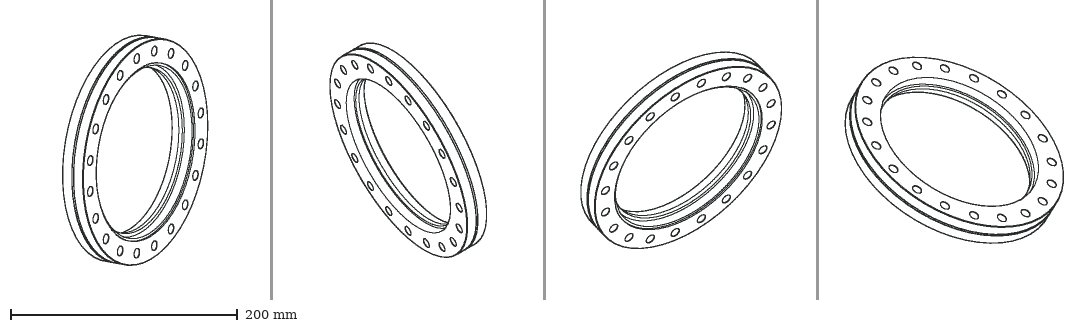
import cadquery as cq

outer_diameter = 202.5
thickness = 22.0
rim_chamfer = 0.6

front_bore_diameter = 153.0
front_bore_depth = 8.7
land_diameter = 148.5
land_width = 3.6
rear_bore_diameter = 155.0
rear_recess_diameter = 159.5
rear_recess_depth = 1.6
rear_bore_depth = thickness - front_bore_depth - land_width

groove_width = 1.8
groove_depth = 0.5

bolt_count = 20
bolt_circle_diameter = 181.0
bolt_hole_diameter = 8.3
bolt_hole_chamfer = 0.3
bolt_pitch_angle = 360 / bolt_count


def cylinder(diameter, start, length):
    """Solid cylinder on the X axis, starting at X = start."""
    return cq.Workplane("YZ", origin=(start, 0, 0)).circle(diameter / 2).extrude(length)


def make_body():
    return cylinder(outer_diameter, -thickness / 2, thickness).edges().chamfer(rim_chamfer)


def cut_bore(body):
    front_face = -thickness / 2
    rear_face = thickness / 2
    body = body.cut(cylinder(land_diameter, front_face, thickness))
    body = body.cut(cylinder(front_bore_diameter, front_face, front_bore_depth))
    body = body.cut(cylinder(rear_bore_diameter, rear_face, -rear_bore_depth))
    return body.cut(cylinder(rear_recess_diameter, rear_face, -rear_recess_depth))


def cut_rim_groove(body):
    groove_start = -groove_width / 2
    ring = cylinder(outer_diameter, groove_start, groove_width)
    core = cylinder(outer_diameter - 2 * groove_depth, groove_start, groove_width)
    return body.cut(ring.cut(core))


def make_bolt_hole_cutter():
    """Through hole on the X axis that flares out at both faces."""
    half_thickness = thickness / 2
    hole_radius = bolt_hole_diameter / 2
    flared_radius = hole_radius + bolt_hole_chamfer
    straight_end = half_thickness - bolt_hole_chamfer
    profile = [
        (-half_thickness, 0),
        (-half_thickness, flared_radius),
        (-straight_end, hole_radius),
        (straight_end, hole_radius),
        (half_thickness, flared_radius),
        (half_thickness, 0),
    ]
    return cq.Workplane("XY").polyline(profile).close().revolve(360, (0, 0, 0), (1, 0, 0))


def cut_bolt_holes(body):
    cutter = make_bolt_hole_cutter().translate((0, bolt_circle_diameter / 2, 0))
    for index in range(bolt_count):
        angle = (index + 0.5) * bolt_pitch_angle
        body = body.cut(cutter.rotate((0, 0, 0), (1, 0, 0), angle))
    return body


result = cut_bolt_holes(cut_rim_groove(cut_bore(make_body())))